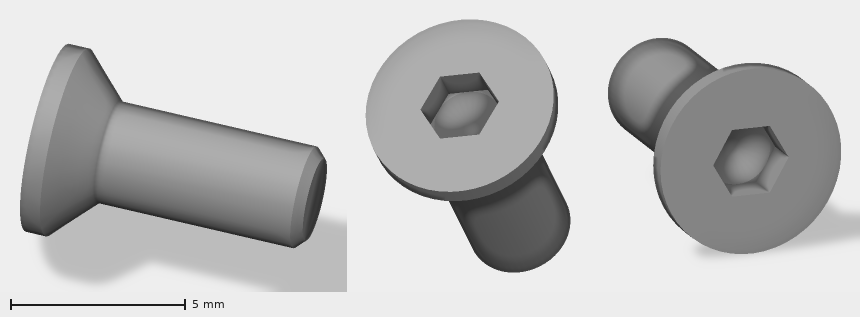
import cadquery as cq
import math

length = 8.0
head_diameter = 5.54
rim_thickness = 0.6
shank_diameter = 3.0
neck_fillet_radius = 0.1
tip_chamfer = 0.29
socket_across_flats = 2.0
socket_depth = 1.1
socket_cone_angle = 120.0

head_radius = head_diameter / 2
shank_radius = shank_diameter / 2
socket_radius = socket_across_flats / 2

neck_x = rim_thickness + head_radius - shank_radius

neck_turn = math.radians(45)
neck_setback = neck_fillet_radius * math.tan(neck_turn / 2)
neck_start = (
    neck_x - neck_setback * math.cos(neck_turn),
    shank_radius + neck_setback * math.sin(neck_turn),
)
neck_end = (neck_x + neck_setback, shank_radius)
neck_middle = (
    neck_end[0] - neck_fillet_radius * math.sin(neck_turn / 2),
    shank_radius + neck_fillet_radius * (1 - math.cos(neck_turn / 2)),
)


def make_body():
    """Head, neck fillet, shank and chamfered tip as one turned solid."""
    return (
        cq.Workplane("XY")
        .lineTo(0, head_radius)
        .lineTo(rim_thickness, head_radius)
        .lineTo(*neck_start)
        .threePointArc(neck_middle, neck_end)
        .lineTo(length - tip_chamfer, shank_radius)
        .lineTo(length, shank_radius - tip_chamfer)
        .lineTo(length, 0)
        .close()
        .revolve(360, (0, 0, 0), (1, 0, 0))
    )


def make_socket():
    """Hexagonal recess with two flats facing +Z and -Z, ending in a cone."""
    across_corners = socket_across_flats / math.cos(math.radians(30))
    hexagon = cq.Workplane("YZ").polygon(6, across_corners).extrude(socket_depth)
    cone_depth = socket_radius / math.tan(math.radians(socket_cone_angle / 2))
    cone = (
        cq.Workplane("XY")
        .moveTo(socket_depth, 0)
        .lineTo(socket_depth, socket_radius)
        .lineTo(socket_depth + cone_depth, 0)
        .close()
        .revolve(360, (0, 0, 0), (1, 0, 0))
    )
    return hexagon.union(cone)


result = make_body().cut(make_socket())